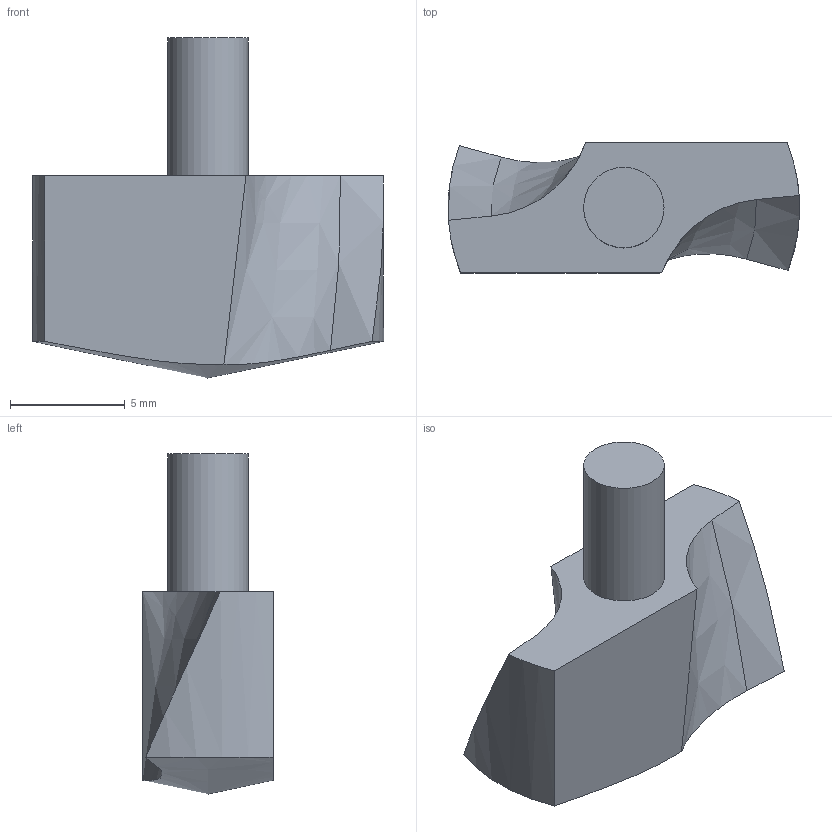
import cadquery as cq
import math

SHANK_DIAMETER = 3.5
SHANK_LENGTH = 6.0

HEAD_DIAMETER = 15.3
HEAD_THICKNESS = 5.67
LAND_HEIGHT = 7.2
POINT_HEIGHT = 1.6

FACE_INNER_X = 5.77
FACE_INNER_Y = 0.36
FACE_SLOPE = 5.5
GULLET_RADIUS = 4.86
TWIST_PER_MM = 3.45

HEAD_RADIUS = HEAD_DIAMETER / 2
HEAD_HEIGHT = LAND_HEIGHT + POINT_HEIGHT
FLUTE_REACH = 10.0
FLUTE_COUNT = 2


def make_shank():
    """Round shank rising from the shoulder at Z = 0."""
    return cq.Workplane("XY").circle(SHANK_DIAMETER / 2).extrude(SHANK_LENGTH)


def make_head_blank():
    """Revolved head with its conical point, cut to a slab by two flats."""
    turned = (
        cq.Workplane("XZ")
        .polyline([(0, 0), (HEAD_RADIUS, 0), (HEAD_RADIUS, -LAND_HEIGHT), (0, -HEAD_HEIGHT)])
        .close()
        .revolve(360, (0, 0), (0, 1))
    )
    slab = cq.Workplane("XY").rect(HEAD_DIAMETER, HEAD_THICKNESS).extrude(-HEAD_HEIGHT)
    return turned.intersect(slab)


def make_flute():
    """Twisted cutter for the flute on the front right of the head."""
    slope = math.radians(FACE_SLOPE)
    center_x = FACE_INNER_X + GULLET_RADIUS * math.sin(slope)
    center_y = FACE_INNER_Y - GULLET_RADIUS * math.cos(slope)

    def gullet_point(angle):
        return (center_x + GULLET_RADIUS * math.cos(angle), center_y + GULLET_RADIUS * math.sin(angle))

    start_angle = math.pi / 2 + slope
    end_angle = math.pi
    face_outer_y = FACE_INNER_Y + (FLUTE_REACH - FACE_INNER_X) * math.tan(slope)
    gullet_end_x = gullet_point(end_angle)[0]

    return (
        cq.Workplane("XY")
        .moveTo(FLUTE_REACH, face_outer_y)
        .lineTo(FACE_INNER_X, FACE_INNER_Y)
        .threePointArc(gullet_point((start_angle + end_angle) / 2), gullet_point(end_angle))
        .lineTo(gullet_end_x, -FLUTE_REACH)
        .lineTo(FLUTE_REACH, -FLUTE_REACH)
        .close()
        .twistExtrude(HEAD_HEIGHT, -TWIST_PER_MM * HEAD_HEIGHT)
        .mirror("XY")
    )


head = make_head_blank()
flute = make_flute()
for index in range(FLUTE_COUNT):
    head = head.cut(flute.rotate((0, 0, 0), (0, 0, 1), index * 360 / FLUTE_COUNT))

result = head.union(make_shank())